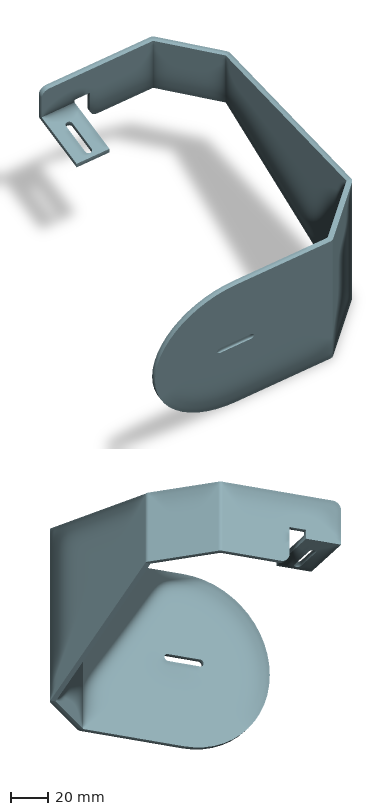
import cadquery as cq
import math

length = 190.0
depth = 140.0
height = 100.0
thickness = 3.0

bend_offset = 31.4
narrow_height = 40.0

arm_end = 70.3
flange_start = 80.0
flange_end = 100.3
flange_length = 39.9
flange_bottom = -4.8
notch_top = 0.4
corner_radius = 5.0

slot_length = 24.3
side_slot_length = 22.8
slot_width = 4.0
slot_x = 24.9
slot_y = -(flange_start + flange_end) / 2

half_height = height / 2
half_narrow = narrow_height / 2
side_inner = length - thickness


def bend_arc(path, center, start_angle, end_angle):
    """Draw the outer surface of a bend about its sharp inner corner."""
    def point(angle):
        radians = math.radians(angle)
        return (
            center[0] + thickness * math.cos(radians),
            center[1] + thickness * math.sin(radians),
        )

    path = path.lineTo(*point(start_angle))
    return path.threePointArc(point((start_angle + end_angle) / 2), point(end_angle))


def bent_strip():
    """Constant-thickness strip: left arm, diagonal, back, diagonal, right side."""
    inner_corners = [
        (thickness, -bend_offset),
        (bend_offset, -thickness),
        (length - bend_offset, -thickness),
        (side_inner, -bend_offset),
    ]
    path = cq.Workplane("XY").workplane(offset=-half_height).moveTo(0, -flange_end)
    for index, corner in enumerate(inner_corners):
        start_angle = 180 - 45 * index
        path = bend_arc(path, corner, start_angle, start_angle - 45)
    path = path.lineTo(length, -depth).lineTo(side_inner, -depth)
    for corner in reversed(inner_corners):
        path = path.lineTo(*corner)
    return path.lineTo(thickness, -flange_end).close().extrude(height)


def front_outline():
    """Narrow left end, tapered back wall and full-height right end."""
    taper_end = length - bend_offset
    return (
        cq.Workplane("XZ")
        .polyline([
            (0, -half_narrow),
            (bend_offset, -half_narrow),
            (taper_end, -half_height),
            (length, -half_height),
            (length, half_height),
            (taper_end, half_height),
            (bend_offset, half_narrow),
            (0, half_narrow),
        ])
        .close()
        .extrude(depth)
    )


def left_arm_outline():
    """Side shape of the left arm, with a notch ahead of the flange."""
    return (
        cq.Workplane("YZ")
        .moveTo(0, -half_narrow)
        .lineTo(-arm_end + corner_radius, -half_narrow)
        .radiusArc((-arm_end, -half_narrow + corner_radius), corner_radius)
        .lineTo(-arm_end, notch_top)
        .lineTo(-flange_start, notch_top)
        .lineTo(-flange_start, flange_bottom)
        .lineTo(-flange_end, flange_bottom)
        .lineTo(-flange_end, half_narrow - corner_radius)
        .radiusArc((-flange_end + corner_radius, half_narrow), corner_radius)
        .lineTo(0, half_narrow)
        .close()
        .extrude(bend_offset)
    )


def right_side_outline():
    """Side shape of everything right of the left bends, ending in a half circle."""
    round_start = -depth + half_height
    return (
        cq.Workplane("YZ")
        .workplane(offset=bend_offset)
        .moveTo(0, -half_height)
        .lineTo(round_start, -half_height)
        .threePointArc((-depth, 0), (round_start, half_height))
        .lineTo(0, half_height)
        .close()
        .extrude(length - bend_offset)
    )


def flange():
    """Horizontal tab folded inward from the bottom edge of the left arm."""
    plate = cq.Workplane("XY").box(
        flange_length, flange_end - flange_start, thickness, centered=False
    ).translate((0, -flange_end, flange_bottom))
    slot = (
        cq.Workplane("XY")
        .workplane(offset=flange_bottom)
        .center(slot_x, slot_y)
        .slot2D(slot_length, slot_width)
        .extrude(thickness)
    )
    return plate.cut(slot)


def side_slot():
    """Horizontal slot through the right side plate."""
    return (
        cq.Workplane("YZ")
        .workplane(offset=side_inner)
        .center(slot_y, 0)
        .slot2D(side_slot_length, slot_width)
        .extrude(thickness)
    )


side_outlines = left_arm_outline().union(right_side_outline())
result = (
    bent_strip()
    .intersect(front_outline())
    .intersect(side_outlines)
    .union(flange())
    .cut(side_slot())
)